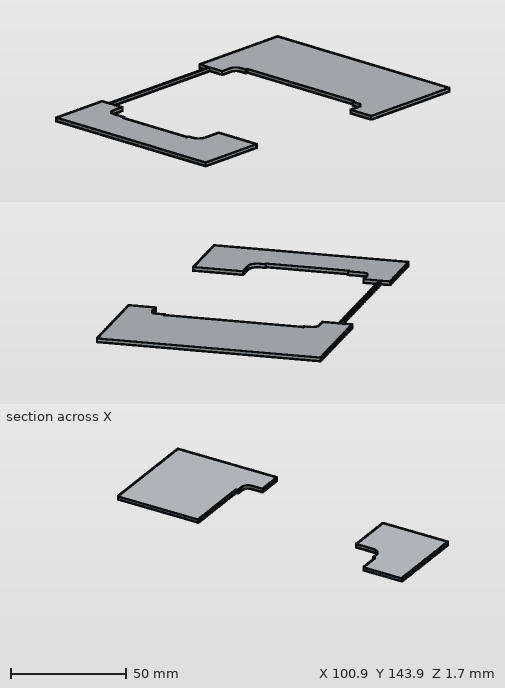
import cadquery as cq

thickness = 1.7
total_length = 143.9
step_depth = 1.0
corner_radius = 3.0

large_width = 100.9
large_depth = 50.2
large_bottom = total_length - large_depth
large_notch_left = 13.4
large_notch_right = 88.6
large_shoulder = large_bottom + 8.5
large_step_left = 19.4
large_step_right = 82.1

small_left = 1.5
small_right = 89.2
small_left_top = 29.5
small_right_top = 33.0
small_notch_left = 13.4
small_notch_right = 66.8
small_right_radius = 4.0
small_shoulder = 20.5
small_step_left = 22.9
small_step_right = 60.3

strip_center = 5.8
strip_width = 0.6


def plate(outline, notch_corners):
    """Extrude an outline and round the inner corners of its notch."""
    body = cq.Workplane("XY").polyline(outline).close().extrude(thickness)
    for x, y, radius in notch_corners:
        corner = cq.selectors.NearestToPointSelector((x, y, thickness / 2))
        body = body.edges("|Z").edges(corner).fillet(radius)
    return body


def large_plate():
    floor = large_shoulder + step_depth
    outline = [
        (0, large_bottom),
        (large_notch_left, large_bottom),
        (large_notch_left, large_shoulder),
        (large_step_left, large_shoulder),
        (large_step_left, floor),
        (large_step_right, floor),
        (large_step_right, large_shoulder),
        (large_notch_right, large_shoulder),
        (large_notch_right, large_bottom),
        (large_width, large_bottom),
        (large_width, total_length),
        (0, total_length),
    ]
    corners = [
        (large_notch_left, large_shoulder, corner_radius),
        (large_notch_right, large_shoulder, corner_radius),
    ]
    return plate(outline, corners)


def small_plate():
    floor = small_shoulder - step_depth
    outline = [
        (small_left, 0),
        (small_right, 0),
        (small_right, small_right_top),
        (small_notch_right, small_right_top),
        (small_notch_right, small_shoulder),
        (small_step_right, small_shoulder),
        (small_step_right, floor),
        (small_step_left, floor),
        (small_step_left, small_shoulder),
        (small_notch_left, small_shoulder),
        (small_notch_left, small_left_top),
        (small_left, small_left_top),
    ]
    corners = [
        (small_notch_left, small_shoulder, corner_radius),
        (small_notch_right, small_shoulder, small_right_radius),
    ]
    return plate(outline, corners)


def joining_strip():
    length = large_bottom - small_left_top
    return (
        cq.Workplane("XY")
        .box(strip_width, length, thickness, centered=(True, False, False))
        .translate((strip_center, small_left_top, 0))
    )


result = large_plate().union(small_plate()).union(joining_strip())